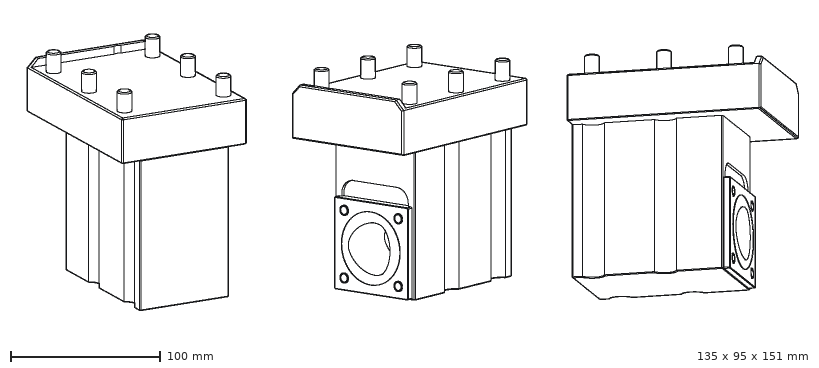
import cadquery as cq
import math

length = 135.0
plate_width = 95.0
total_height = 151.0

plate_bottom = 105.1
plate_top = 137.0
lip_top = 142.4
lip_thickness = 4.7
plate_edge = 1.0
lower_edge = 0.6
relief_diameter = 10.0
relief_x = 8.9
relief_y = 19.0

screw_diameter = 10.0
screw_tip = 0.9
screw_xs = (20.0, 69.9, 120.0)
screw_y = 37.6

body_start = 30.0
body_width = 68.0
body_edge = 0.8
groove_diameter = 17.0
recess_depth = 2.3
recess_width = 56.8
recess_top = 75.3
recess_corner = 10.0

flange_start = 25.7
flange_side = 63.0
flange_corner = 0.8
flange_front_edge = 0.5
pad_diameter = 50.0
pad_height = 0.5
bore_z = 32.0

flange_screw_diameter = 7.0
flange_screw_tip = 0.8
flange_screw_spacing = 46.2

bore_start = flange_start - pad_height
bore_radius = 17.8
bore_lobe = 1.2
bore_depth = 37.8
bore_taper = 0.025
outline_points = 36

ball_diameter = 3.0
ball_reach = 0.6


def block(x_start, x_end, width, z_bottom, z_top):
    """Box symmetric about the XZ plane."""
    size = (x_end - x_start, width, z_top - z_bottom)
    return cq.Workplane("XY").box(*size, centered=(False, True, False)).translate((x_start, 0, z_bottom))


def make_plate():
    lip_corner = lip_top - plate_top + plate_edge
    lip = (
        block(0, lip_thickness, plate_width, plate_bottom, lip_top)
        .edges("|X and >Z").chamfer(lip_corner)
        .faces("<X").chamfer(plate_edge)
    )
    slab = (
        block(lip_thickness / 2, length, plate_width, plate_bottom, plate_top)
        .edges("(|X or >X) and (not <Z)").chamfer(plate_edge)
    )
    relief = (
        cq.Workplane("XY", origin=(relief_x, relief_y, plate_top))
        .circle(relief_diameter / 2).extrude(lip_top - plate_top)
    )
    return lip.union(slab).cut(relief).faces("<Z").chamfer(lower_edge)


def make_screws():
    return (
        cq.Workplane("XY", origin=(0, 0, plate_bottom))
        .pushPoints([(x, y) for x in screw_xs for y in (-screw_y, screw_y)])
        .circle(screw_diameter / 2).extrude(total_height - plate_bottom)
        .faces(">Z").chamfer(screw_tip)
    )


def make_body():
    body = (
        block(body_start, length, body_width, 0, plate_bottom)
        .edges("|Z").chamfer(body_edge)
    )
    grooves = (
        cq.Workplane("XY")
        .pushPoints([(x, y) for x in screw_xs[1:] for y in (-screw_y, screw_y)])
        .circle(groove_diameter / 2).extrude(plate_bottom)
    )
    recess = (
        block(body_start, body_start + recess_depth, recess_width, bore_z, recess_top)
        .edges("|X and >Z").fillet(recess_corner)
    )
    return body.cut(grooves).faces("<Z").chamfer(lower_edge).cut(recess)


def flange_workplane():
    """Plane of the flange face, centred on the bore; +X of the part points into the flange."""
    return cq.Workplane("YZ", origin=(flange_start, 0, bore_z))


def make_flange():
    bottom = bore_z - flange_side / 2
    plate = (
        block(flange_start, body_start + recess_depth, flange_side, bottom, bottom + flange_side)
        .edges("|X").chamfer(flange_corner)
        .faces("<X").chamfer(flange_front_edge)
    )
    pad = flange_workplane().circle(pad_diameter / 2).extrude(-pad_height)
    screw_places = (
        flange_workplane()
        .rect(flange_screw_spacing, flange_screw_spacing, forConstruction=True)
        .vertices()
    )
    holes = screw_places.circle(flange_screw_diameter / 2).extrude(flange_screw_tip)
    tips = (
        screw_places.circle(flange_screw_diameter / 2).extrude(2 * flange_screw_tip)
        .faces("<X").chamfer(flange_screw_tip)
    )
    return plate.cut(holes).union(tips).union(pad)


def lobed_outline(radius):
    """Points of a constant-width outline with three lobes, one of them toward +Y."""
    points = []
    for step in range(outline_points):
        angle = 2 * math.pi * step / outline_points
        reach = radius + bore_lobe * math.cos(3 * angle)
        slope = -3 * bore_lobe * math.sin(3 * angle)
        y = reach * math.cos(angle) - slope * math.sin(angle)
        z = reach * math.sin(angle) + slope * math.cos(angle)
        points.append((y, z))
    return points


def make_bore():
    end_radius = bore_radius - bore_taper * bore_depth
    bore = (
        cq.Workplane("YZ", origin=(bore_start, 0, bore_z))
        .spline(lobed_outline(bore_radius), periodic=True, makeWire=True)
        .workplane(offset=bore_depth)
        .spline(lobed_outline(end_radius), periodic=True, makeWire=True)
        .loft(combine=True)
    )
    flat_y = bore_lobe - end_radius
    ball_y = flat_y + ball_reach - ball_diameter / 2
    ball = cq.Workplane("XY").sphere(ball_diameter / 2).translate((bore_start + bore_depth / 2, ball_y, bore_z))
    return bore.cut(ball)


result = make_plate().union(make_screws()).union(make_body()).union(make_flange()).cut(make_bore())